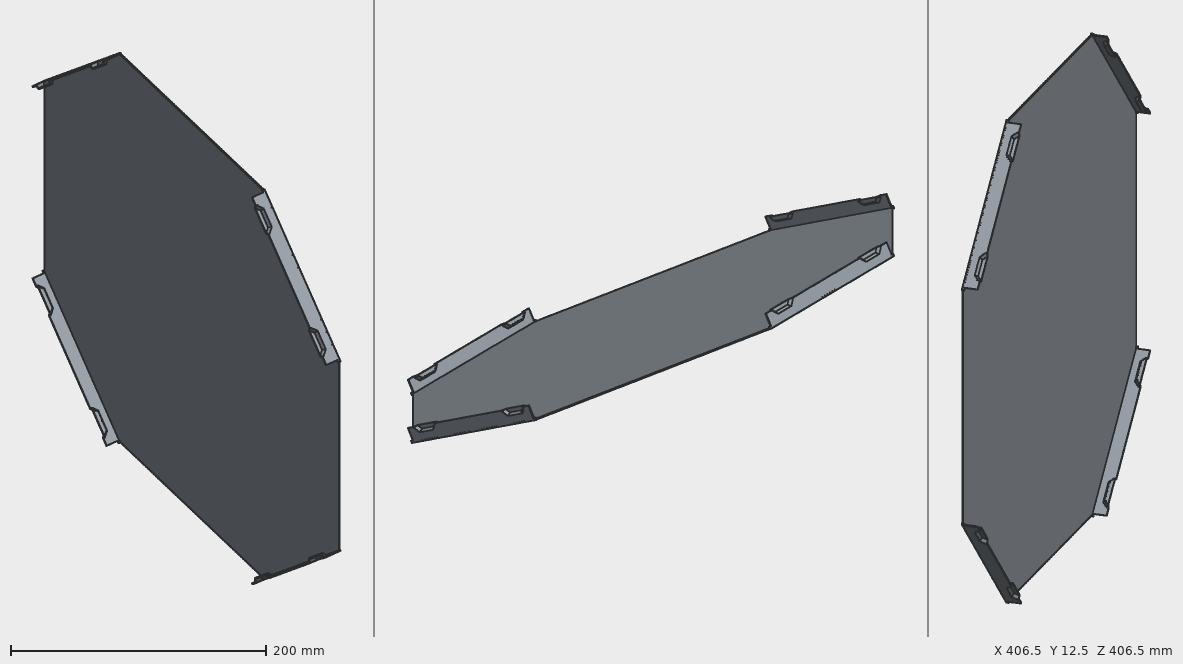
import cadquery as cq
import math

overall_side = 406.5
tray_depth = 12.5
sheet = 1.0
panel_inset = 1.2
panel_half = overall_side / 2 - panel_inset
straight_edge_half = 100.0
back_y = tray_depth / 2
rim_y = -tray_depth / 2

flange_offset = (panel_half + straight_edge_half) / math.sqrt(2)
lip_half = overall_side / math.sqrt(2) - flange_offset
end_step = 2.0
flange_half = lip_half - end_step
lip_depth = 2.0

dimple_spacing = 105.0
dimple_half_length = 13.5
dimple_height = 6.0
dimple_corner = 4.5
dimple_depth = 4.0
dimple_taper = 30


def make_panel():
    """Octagonal sheet, its back face on the +Y side."""
    corner_cut = panel_half - straight_edge_half
    return (
        cq.Workplane("XY")
        .box(2 * panel_half, sheet, 2 * panel_half)
        .edges("|Y")
        .chamfer(corner_cut)
        .translate((0, back_y - sheet / 2, 0))
    )


def flange_strip(half_length, depth):
    """Upright strip along Z, with its outer face on the +X side."""
    return (
        cq.Workplane("XY")
        .box(sheet, depth, 2 * half_length)
        .translate((flange_offset - sheet / 2, back_y - depth / 2, 0))
    )


def dimple_solid(center_z, inset, depth):
    """Tapered form with cut corners, centered on the rim and narrowing toward the panel center."""
    half_length = dimple_half_length - inset
    height = dimple_height - inset
    corner = dimple_corner
    outline = [
        (-half_length, -height + corner),
        (-half_length, height - corner),
        (-half_length + corner, height),
        (half_length - corner, height),
        (half_length, height - corner),
        (half_length, -height + corner),
        (half_length - corner, -height),
        (-half_length + corner, -height),
    ]
    outer_face = cq.Plane(
        origin=(flange_offset, rim_y, center_z), xDir=(0, 0, 1), normal=(-1, 0, 0)
    )
    return cq.Workplane(outer_face).polyline(outline).close().extrude(depth, taper=dimple_taper)


def make_flange():
    flange = flange_strip(flange_half, tray_depth).union(flange_strip(lip_half, lip_depth))
    below_rim = (
        cq.Workplane("XY")
        .box(4 * dimple_depth, 2 * dimple_height, overall_side)
        .translate((flange_offset, rim_y - dimple_height, 0))
    )
    for center_z in (-dimple_spacing / 2, dimple_spacing / 2):
        flange = flange.union(dimple_solid(center_z, 0, dimple_depth).cut(below_rim))
        flange = flange.cut(dimple_solid(center_z, sheet, dimple_depth - sheet))
    return flange


result = make_panel()
flange = make_flange()
for angle in (45, 135, 225, 315):
    result = result.union(flange.rotate((0, 0, 0), (0, 1, 0), angle))